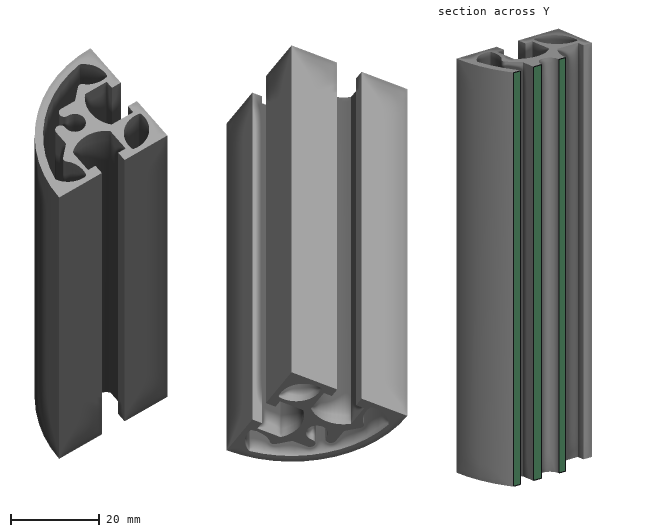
import cadquery as cq
import math

size = 30.0
length = 100.0
half = size / 2

slot_opening = 6.3
slot_width = 10.4
lip_thickness = 2.5
slot_side_depth = 8.5
slot_floor_depth = 10.5

bore_radius = 2.5
arm_thickness = 2.5
arm_overhang = 1.5

lens_radius = 6.0
lens_tip_near = 6.4
lens_tip_far = 13.6
lens_tip_fillet = 0.5

web_tip_x = -8.5
web_tip_y = 7.1
web_flank = 1.2
web_tip_fillet = 1.0

wall_thickness = 1.9
wall_corner_y = 10.4


def round_edge(body, x, y, radius):
    """Round the lengthwise edge that passes through (x, y)."""
    edge = cq.selectors.NearestToPointSelector((x, y, length / 2))
    return body.edges(edge).fillet(radius)


def mirrored(body):
    """The same body on the other side of the line X = Y."""
    return body.mirror(cq.Vector(1, -1, 0))


def quarter_round():
    return (
        cq.Workplane("XY")
        .moveTo(half, half)
        .lineTo(-half, half)
        .radiusArc((half, -half), -size)
        .close()
        .extrude(length)
    )


def slot():
    """T-slot with a dished floor, open towards +Y."""
    opening_x = slot_opening / 2
    side_x = slot_width / 2
    lip_y = half - lip_thickness
    side_y = half - slot_side_depth
    return (
        cq.Workplane("XY")
        .moveTo(-opening_x, half)
        .lineTo(-opening_x, lip_y)
        .lineTo(-side_x, lip_y)
        .lineTo(-side_x, side_y)
        .threePointArc((0, half - slot_floor_depth), (side_x, side_y))
        .lineTo(side_x, lip_y)
        .lineTo(opening_x, lip_y)
        .lineTo(opening_x, half)
        .close()
        .extrude(length)
    )


def corner_chamber():
    """Lens-shaped chamber in the square corner."""
    return (
        cq.Workplane("XY")
        .moveTo(lens_tip_near, lens_tip_far)
        .radiusArc((lens_tip_far, lens_tip_near), lens_radius)
        .radiusArc((lens_tip_near, lens_tip_far), lens_radius)
        .close()
        .extrude(length)
        .edges("|Z")
        .fillet(lens_tip_fillet)
    )


def main_chamber_half():
    """Half of the large chamber, on the -X +Y side of the line X = Y."""
    bore_diagonal = bore_radius * math.sqrt(0.5)
    arm_outer_x = -bore_radius - arm_thickness
    arm_middle_x = -bore_radius - arm_thickness / 2
    arm_round_y = arm_thickness / 2 - arm_overhang
    web_start_y = web_tip_y + web_tip_x - arm_outer_x

    wall_radius = size - wall_thickness
    wall_corner_x = half - math.sqrt(wall_radius**2 - (half - wall_corner_y) ** 2)
    wall_diagonal = half - wall_radius * math.sqrt(0.5)

    body = (
        cq.Workplane("XY")
        .moveTo(bore_diagonal, bore_diagonal)
        .threePointArc((0, bore_radius), (-bore_radius, 0))
        .lineTo(-bore_radius, arm_round_y)
        .threePointArc((arm_middle_x, -arm_overhang), (arm_outer_x, arm_round_y))
        .lineTo(arm_outer_x, web_start_y)
        .lineTo(web_tip_x, web_tip_y)
        .lineTo(web_tip_x + web_flank, web_tip_y + web_flank)
        .radiusArc((-lens_tip_near, lens_tip_far), -lens_radius)
        .radiusArc((wall_corner_x, wall_corner_y), -lens_radius)
        .radiusArc((wall_diagonal, wall_diagonal), -wall_radius)
        .close()
        .extrude(length)
    )
    body = round_edge(body, -lens_tip_near, lens_tip_far, lens_tip_fillet)
    return round_edge(body, web_tip_x, web_tip_y, web_tip_fillet)


top_slot = slot()
chamber_half = main_chamber_half()
main_chamber = chamber_half.union(mirrored(chamber_half))

result = (
    quarter_round()
    .cut(top_slot)
    .cut(mirrored(top_slot))
    .cut(corner_chamber())
    .cut(main_chamber)
)